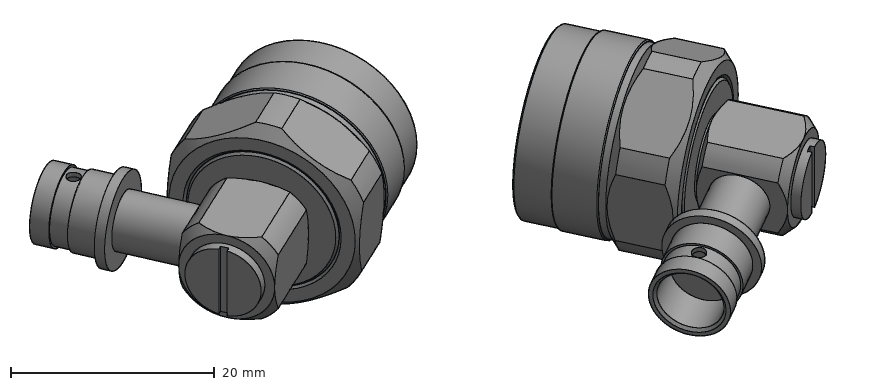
import cadquery as cq
import math


nut_back = 4.85
hex_end = 12.18
band_start = 12.92
band_end = 17.78
coupling_end = 21.83
sleeve_radius = 9.9
band_radius = 10.1
rim_chamfer = 0.2
band_chamfer = 0.12
hex_corner_diameter = 21.9
hex_corner_radius = hex_corner_diameter / 2
hex_half_flats = 10.1
hex_turn = 1.3
hex_back_chamfer = 1.18
hex_front_chamfer = hex_corner_radius - sleeve_radius

disc_back = 4.75
groove_outer_radius = 8.28
disc_radius = 8.0
disc_chamfer = 0.25
groove_bottom = nut_back + groove_outer_radius - disc_radius

neck_radius = 4.5
block_back = -4.98
block_front = 4.42
block_width = 10.05
block_corner_radius = 6.0
block_back_chamfer = 1.0
block_front_chamfer = 0.6

cap_diameter = 8.0
cap_radius = cap_diameter / 2
cap_back = -6.0
slot_width = 0.85
slot_depth = 0.47

arm_mouth = -20.95
arm_groove_start = -18.93
arm_groove_end = -16.97
collar_start = -13.83
collar_end = -12.75
ferrule_radius = 4.25
arm_groove_diameter = 8.0
arm_groove_radius = arm_groove_diameter / 2
collar_radius = 5.15
tube_diameter = 6.32
tube_radius = tube_diameter / 2
bore_radius = 3.45
bore_depth = 4.5
mouth_chamfer = 0.3
solder_hole_radius = 0.75
solder_hole_center = -17.9


def cylinder_y(radius, start, end):
    """Cylinder about the Y axis from Y = start to Y = end."""
    return cq.Workplane("XZ", origin=(0, start, 0)).circle(radius).extrude(start - end)


def cylinder_x(radius, start, end):
    """Cylinder about the X axis from X = start to X = end."""
    return cq.Workplane("YZ", origin=(start, 0, 0)).circle(radius).extrude(end - start)


def turned_y(profile):
    """Solid of revolution about Y from (radius, Y) points, closed along the axis."""
    points = [(0, profile[0][1])] + profile + [(0, profile[-1][1])]
    return cq.Workplane("XY").polyline(points).close().revolve(360, (0, 0), (0, 1))


def make_hexagon():
    flats_radius = hex_half_flats / math.cos(math.radians(30))
    prism = (
        cq.Workplane("XZ", origin=(0, nut_back, 0))
        .polygon(6, 2 * flats_radius)
        .extrude(nut_back - hex_end)
        .rotate((0, 0, 0), (0, 1, 0), 30 + hex_turn)
    )
    envelope = turned_y([
        (hex_corner_radius - hex_back_chamfer, nut_back),
        (hex_corner_radius, nut_back + hex_back_chamfer),
        (hex_corner_radius, hex_end - hex_front_chamfer),
        (sleeve_radius, hex_end),
    ])
    return prism.intersect(envelope)


def make_coupling():
    sleeve = cylinder_y(sleeve_radius, hex_end, coupling_end).faces(">Y").chamfer(rim_chamfer)
    band = cylinder_y(band_radius, band_start, band_end).faces("<Y or >Y").chamfer(band_chamfer)
    ring_groove = turned_y([(groove_outer_radius, nut_back), (disc_radius, groove_bottom)])
    disc = cylinder_y(disc_radius, disc_back, groove_bottom).faces("<Y").chamfer(disc_chamfer)
    return make_hexagon().union(sleeve).union(band).cut(ring_groove).union(disc)


def make_block():
    length = block_front - block_back
    bar = cq.Workplane("XY").box(block_width, length, block_width)
    bar = bar.translate((0, (block_front + block_back) / 2, 0))
    end_radius = block_width / 2
    envelope = turned_y([
        (end_radius, block_back),
        (block_corner_radius, block_back + block_back_chamfer),
        (block_corner_radius, block_front - block_front_chamfer),
        (end_radius, block_front),
    ])
    neck = cylinder_y(neck_radius, block_front, disc_back)
    return bar.intersect(envelope).union(neck)


def make_cap():
    cap = cylinder_y(cap_radius, cap_back, block_back)
    slot = cq.Workplane("XY").box(slot_width, 2 * slot_depth, 2 * cap_radius)
    return cap.cut(slot.translate((0, cap_back, 0)))


def make_arm():
    ferrule = cylinder_x(ferrule_radius, arm_mouth, arm_groove_start)
    arm_groove = cylinder_x(arm_groove_radius, arm_groove_start, arm_groove_end)
    shoulder = cylinder_x(ferrule_radius, arm_groove_end, collar_start)
    collar = cylinder_x(collar_radius, collar_start, collar_end)
    tube = cylinder_x(tube_radius, collar_end, 0)
    bore = cylinder_x(bore_radius, arm_mouth, arm_mouth + bore_depth)
    arm = ferrule.union(arm_groove).union(shoulder).union(collar).union(tube).cut(bore)
    arm = arm.faces("<X").edges(cq.selectors.RadiusNthSelector(0)).chamfer(mouth_chamfer)
    solder_hole = (
        cq.Workplane("XY", origin=(solder_hole_center, 0, 0))
        .circle(solder_hole_radius)
        .extrude(ferrule_radius)
    )
    return arm.cut(solder_hole)


result = make_coupling().union(make_block()).union(make_cap()).union(make_arm())